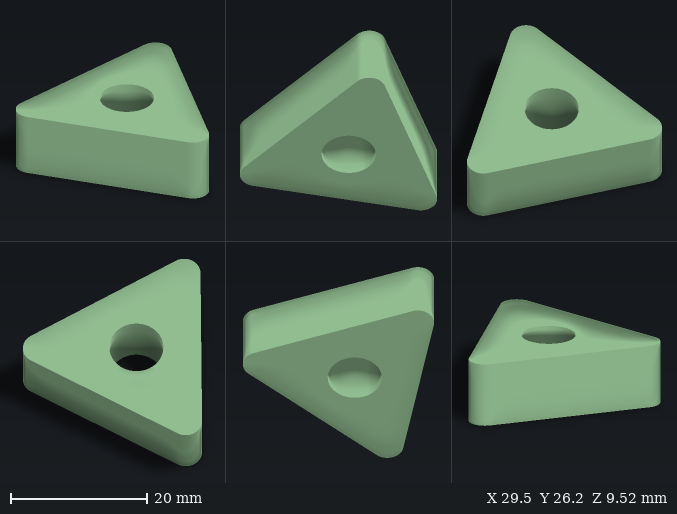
import cadquery as cq
import math

inscribed_circle_diameter = 19.05
thickness = 9.52
corner_radius = 2.4
hole_diameter = 7.94


def triangular_body():
    """Equilateral prism centred on the Z axis, one corner toward +Y, with rounded vertical edges."""
    sharp_corner_distance = inscribed_circle_diameter
    corner_angles = [math.radians(angle) for angle in (90, 210, 330)]
    corners = [
        (sharp_corner_distance * math.cos(angle), sharp_corner_distance * math.sin(angle))
        for angle in corner_angles
    ]
    prism = cq.Workplane("XY").polyline(corners).close().extrude(thickness)
    return prism.edges("|Z").fillet(corner_radius)


def drill_centre_hole(body):
    """Plain through hole on the axis of the inscribed circle."""
    return body.faces(">Z").workplane(origin=(0, 0, thickness)).hole(hole_diameter)


result = drill_centre_hole(triangular_body())